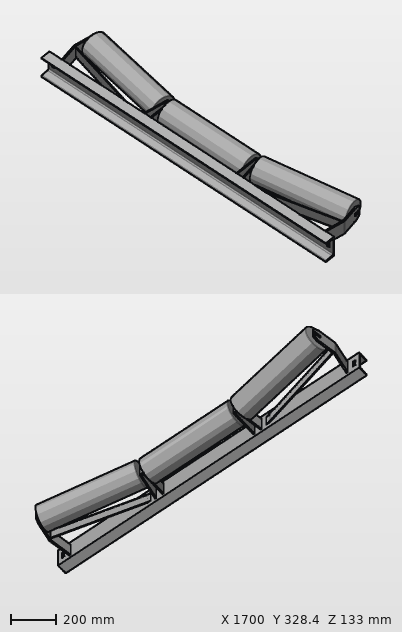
import cadquery as cq
import math

TILT = 10.0

BEAM_LENGTH = 1700.0
BEAM_HEIGHT = 120.0
BEAM_DEPTH = 55.0
WEB_THICKNESS = 7.0
FLANGE_THICKNESS = 9.0
FLANGE_SLOPE = 0.08
ROOT_RADIUS = 7.0
TOE_RADIUS = 4.5
MOUNT_SLOT_HEIGHT = 35.0
MOUNT_SLOT_WIDTH = 15.0
MOUNT_SLOT_INSET = 29.0

ROLLER_DIAMETER = 133.0
ROLLER_LENGTH = 498.0
ROLLER_EDGE_RADIUS = 2.0
CENTRE_ROLLER_Y = 115.0
WING_ROLLER_X = 529.0
WING_ROLLER_Y = 165.0
SHAFT_DIAMETER = 20.0
SHAFT_FLATS = 15.0
SHAFT_LENGTH = 517.0

BRACKET_WIDTH = 80.0
END_PLATE = 8.0
END_BEND_X = 808.0
END_BEND_Y = 115.0
END_BEND_RADIUS = 17.0
END_LEG_LENGTH = 128.0
TIP_CHAMFER_LONG = 25.0
TIP_CHAMFER_WIDE = 15.0
INNER_BEND_RADIUS = 3.0
INNER_PLATE = 7.0
INNER_TOP_Y = 145.0
INNER_STRAIGHT_X = 253.0
INNER_SLANT_FOOT_X = 301.0

STRUT_WIDTH = 60.0
STRUT_THICKNESS = 5.0
STRUT_FOOT_X = 347.0

SIN_TILT = math.sin(math.radians(TILT))
COS_TILT = math.cos(math.radians(TILT))
TAN_TILT = math.tan(math.radians(TILT))
SEAT_LENGTH = SHAFT_LENGTH + 2 * END_PLATE


def plate(points, width):
    """Extrude a closed XY outline symmetrically about Z = 0."""
    return cq.Workplane("XY", origin=(0, 0, -width / 2)).polyline(points).close().extrude(width)


def across_x(length):
    """YZ workplane from which an extrusion of the given length is centred on X = 0."""
    return cq.Workplane("YZ", origin=(-length / 2, 0, 0))


def round_edge(body, direction, point, radius):
    """Round the one edge in the given direction that is nearest to a point."""
    nearest = cq.selectors.NearestToPointSelector(point)
    return body.edges(direction).edges(nearest).fillet(radius)


def place_centre(body):
    """Move a body from the origin to the centre roller position."""
    return body.translate((0, CENTRE_ROLLER_Y, 0))


def place_wing(body):
    """Move a body from the origin to the right wing roller position."""
    return body.rotate((0, 0, 0), (0, 0, 1), TILT).translate((WING_ROLLER_X, WING_ROLLER_Y, 0))


def make_beam():
    top_z = BEAM_HEIGHT / 2
    taper = FLANGE_SLOPE * (BEAM_DEPTH - WEB_THICKNESS) / 2
    root_z = top_z - FLANGE_THICKNESS - taper
    toe_z = top_z - FLANGE_THICKNESS + taper
    section = [
        (0, -top_z), (-BEAM_DEPTH, -top_z), (-BEAM_DEPTH, -toe_z), (-WEB_THICKNESS, -root_z),
        (-WEB_THICKNESS, root_z), (-BEAM_DEPTH, toe_z), (-BEAM_DEPTH, top_z), (0, top_z),
    ]
    beam = across_x(BEAM_LENGTH).polyline(section).close().extrude(BEAM_LENGTH)

    for side in (-1, 1):
        beam = round_edge(beam, "|X", (0, -WEB_THICKNESS, side * root_z), ROOT_RADIUS)
        beam = round_edge(beam, "|X", (0, -BEAM_DEPTH, side * toe_z), TOE_RADIUS)

    slot_x = BEAM_LENGTH / 2 - MOUNT_SLOT_INSET
    slots = (
        cq.Workplane("XZ").pushPoints([(-slot_x, 0), (slot_x, 0)])
        .rect(MOUNT_SLOT_WIDTH, MOUNT_SLOT_HEIGHT).extrude(WEB_THICKNESS)
    )
    return beam.cut(slots)


def shaft(length):
    """Bar along X through the origin, with two flats facing +Z and -Z."""
    bar = across_x(length).circle(SHAFT_DIAMETER / 2).extrude(length)
    return bar.intersect(cq.Workplane("XY").box(length, SHAFT_DIAMETER, SHAFT_FLATS))


def make_roller():
    """Roller along X through the origin, with its shaft ends standing out of both faces."""
    drum = across_x(ROLLER_LENGTH).circle(ROLLER_DIAMETER / 2).extrude(ROLLER_LENGTH)
    return drum.edges().fillet(ROLLER_EDGE_RADIUS).union(shaft(SHAFT_LENGTH))


def make_end_bracket():
    across = END_PLATE / COS_TILT
    foot_x = END_BEND_X - END_BEND_Y * TAN_TILT
    tip_x = END_BEND_X - END_LEG_LENGTH * SIN_TILT
    tip_y = END_BEND_Y + END_LEG_LENGTH * COS_TILT
    bracket = plate([
        (foot_x, 0), (END_BEND_X, END_BEND_Y), (tip_x, tip_y),
        (tip_x - END_PLATE * COS_TILT, tip_y - END_PLATE * SIN_TILT),
        (END_BEND_X - across, END_BEND_Y), (foot_x - across, 0),
    ], BRACKET_WIDTH)
    bracket = round_edge(bracket, "|Z", (END_BEND_X, END_BEND_Y, 0), END_BEND_RADIUS)

    side_z = BRACKET_WIDTH / 2
    corner = (
        cq.Workplane("YZ")
        .polyline([(0, side_z), (-TIP_CHAMFER_LONG, side_z), (0, side_z - TIP_CHAMFER_WIDE)]).close()
        .extrude(2 * END_PLATE, both=True)
        .rotate((0, 0, 0), (0, 0, 1), TILT).translate((tip_x, tip_y, 0))
    )
    bracket = bracket.cut(corner).cut(corner.mirror("XY"))

    opening = cq.Workplane("XY").box(SEAT_LENGTH, END_LEG_LENGTH, SHAFT_FLATS)
    opening = opening.translate((0, END_LEG_LENGTH / 2, 0))
    return bracket.cut(place_wing(shaft(SEAT_LENGTH).union(opening)))


def make_inner_bracket():
    across = INNER_PLATE / COS_TILT
    inside_y = INNER_TOP_Y - INNER_PLATE
    inside_x = INNER_STRAIGHT_X + INNER_PLATE
    slant_top_x = INNER_SLANT_FOOT_X - INNER_TOP_Y * TAN_TILT
    slant_foot_inside_x = INNER_SLANT_FOOT_X - across
    bracket = plate([
        (INNER_STRAIGHT_X, 0), (INNER_STRAIGHT_X, INNER_TOP_Y),
        (slant_top_x, INNER_TOP_Y), (INNER_SLANT_FOOT_X, 0),
        (slant_foot_inside_x, 0), (slant_foot_inside_x - inside_y * TAN_TILT, inside_y),
        (inside_x, inside_y), (inside_x, 0),
    ], BRACKET_WIDTH)
    top_corners = [(INNER_STRAIGHT_X, INNER_TOP_Y, 0), (slant_top_x, INNER_TOP_Y, 0)]
    for corner in top_corners:
        bracket = round_edge(bracket, "|Z", corner, INNER_BEND_RADIUS)
    return bracket.cut(place_centre(shaft(SEAT_LENGTH))).cut(place_wing(shaft(SEAT_LENGTH)))


def make_strut():
    head_x = END_BEND_X - END_PLATE / COS_TILT
    angle = math.atan2(END_BEND_Y, head_x - STRUT_FOOT_X)
    rise = STRUT_THICKNESS / math.cos(angle - math.radians(TILT)) * COS_TILT
    return plate([
        (STRUT_FOOT_X - STRUT_THICKNESS / math.sin(angle), 0), (STRUT_FOOT_X, 0),
        (head_x, END_BEND_Y), (head_x - rise * TAN_TILT, END_BEND_Y + rise),
    ], STRUT_WIDTH)


bodies = [make_beam(), place_centre(make_roller())]
for body in (place_wing(make_roller()), make_end_bracket(), make_inner_bracket(), make_strut()):
    bodies.extend([body, body.mirror("YZ")])

result = cq.Compound.makeCompound([body.val() for body in bodies])